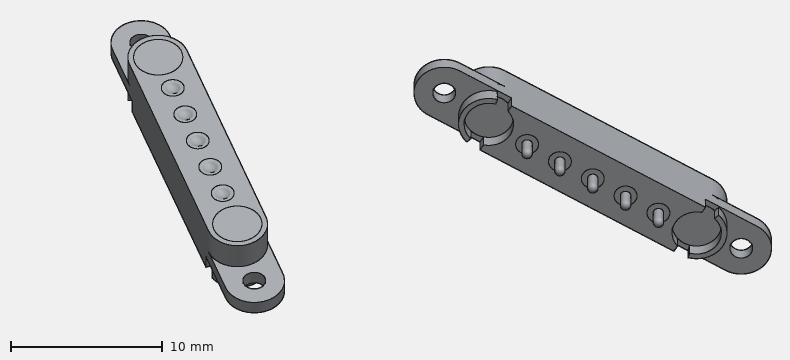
import cadquery as cq
import math

total_length = 26.98
width = 4.0
end_radius = width / 2
housing_height = 4.0
flange_bottom = 1.0
flange_thickness = 1.0
flange_top = flange_bottom + flange_thickness

body_end_x = 8.04
foot_flank_angle = 15.0
block_length = 15.0

mount_hole_diameter = 1.5
mount_hole_x = total_length / 2 - end_radius

magnet_diameter = 3.25
magnet_height = housing_height - flange_bottom

pin_count = 5
pin_pitch = 2.54
barrel_diameter = 1.51
tail_diameter = 0.7
tail_length = 1.5
dish_diameter = 1.0
dish_depth = 0.18
dish_rim_width = 0.1
dish_rim_drop = 0.03

pin_positions = [(i - (pin_count - 1) / 2) * pin_pitch for i in range(pin_count)]
magnet_positions = [-body_end_x, body_end_x]


def round_ended_bar(end_center_x, bottom, top):
    """Bar along X with full-width round ends about x = +/- end_center_x."""
    length = 2 * (end_center_x + end_radius)
    return cq.Workplane("XY", origin=(0, 0, bottom)).slot2D(length, width).extrude(top - bottom)


def cylinder(x, diameter, bottom, top):
    """Upright cylinder centred on y = 0."""
    return cq.Workplane("XY", origin=(x, 0, bottom)).circle(diameter / 2).extrude(top - bottom)


def make_slot(side):
    """Slot across the underside: flat on the block side, radial flanks on the foot side."""
    block_face_x = block_length / 2
    flank_reach = width
    flank_x = body_end_x + flank_reach * math.tan(math.radians(foot_flank_angle))
    outline = [
        (side * block_face_x, -flank_reach),
        (side * flank_x, -flank_reach),
        (side * body_end_x, 0),
        (side * flank_x, flank_reach),
        (side * block_face_x, flank_reach),
    ]
    return cq.Workplane("XY").polyline(outline).close().extrude(flange_bottom)


def make_housing():
    """Round-ended body on a longer mounting flange, bored through for magnets and pins."""
    body = round_ended_bar(body_end_x, 0, housing_height)
    flange = round_ended_bar(mount_hole_x, flange_bottom, flange_top)
    housing = body.union(flange)

    for side in (-1, 1):
        housing = housing.cut(make_slot(side))

    for x in (-mount_hole_x, mount_hole_x):
        housing = housing.cut(cylinder(x, mount_hole_diameter, flange_bottom, flange_top))

    for x in magnet_positions:
        housing = housing.cut(cylinder(x, magnet_diameter, 0, housing_height))

    for x in pin_positions:
        housing = housing.cut(cylinder(x, barrel_diameter, 0, housing_height))
    return housing


def make_magnet(x):
    """Disc magnet flush with the top of the housing."""
    return cylinder(x, magnet_diameter, housing_height - magnet_height, housing_height)


def make_pin(x):
    """Contact pin: barrel with a dished top and a thin tail with a domed tip."""
    barrel_radius = barrel_diameter / 2
    tail_radius = tail_diameter / 2
    dish_radius = dish_diameter / 2
    dish_edge_z = housing_height - dish_rim_drop
    dish_bottom_z = dish_edge_z - dish_depth
    tip_z = -tail_length
    dome_center_z = tip_z + tail_radius

    sphere_radius = (dish_radius**2 + dish_depth**2) / (2 * dish_depth)
    middle_angle = math.asin(dish_radius / sphere_radius) / 2
    dish_middle = (
        sphere_radius * math.sin(middle_angle),
        dish_bottom_z + sphere_radius * (1 - math.cos(middle_angle)),
    )
    dome_middle = (
        tail_radius * math.cos(math.pi / 4),
        dome_center_z - tail_radius * math.sin(math.pi / 4),
    )

    profile = (
        cq.Workplane("XZ")
        .moveTo(0, tip_z)
        .threePointArc(dome_middle, (tail_radius, dome_center_z))
        .lineTo(tail_radius, 0)
        .lineTo(barrel_radius, 0)
        .lineTo(barrel_radius, housing_height)
        .lineTo(dish_radius + dish_rim_width, housing_height)
        .lineTo(dish_radius, dish_edge_z)
        .threePointArc(dish_middle, (0, dish_bottom_z))
        .close()
    )
    return profile.revolve(360, (0, 0, 0), (0, 1, 0)).translate((x, 0, 0))


housing = make_housing()
magnets = [make_magnet(x) for x in magnet_positions]
pins = [make_pin(x) for x in pin_positions]

result = cq.Compound.makeCompound([
    housing.val(),
    *[magnet.val() for magnet in magnets],
    *[pin.val() for pin in pins],
])